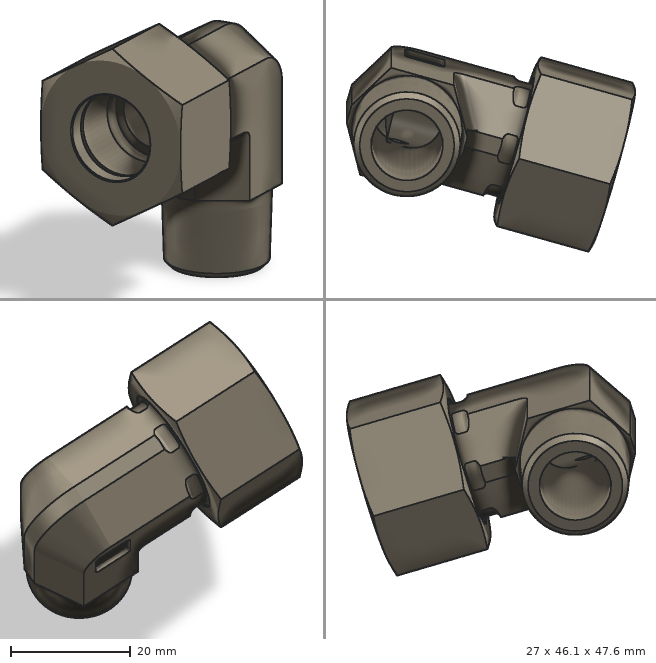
import cadquery as cq
import math


BAR_ACROSS_FLATS = 19.0
BAR_BEND_HEIGHT = 20.2
LEG_END = 18.0
INNER_BEND_RADIUS = 2.0

PIPE_THREAD_DIA = 18.53
PIPE_THREAD_LENGTH = 14.0
PIPE_THREAD_STRAIGHT = 2.0
PIPE_THREAD_CHAMFER = 1.0
PIPE_TAPER_ON_DIAMETER = 1 / 16

STUD_DIA = 22.0
STUD_START = 19.3
STUD_END = 28.0

GROOVE_DIA = 19.7
GROOVE_START = 16.0
GROOVE_FLAT_LENGTH = 1.3
GROOVE_CORNER_RADIUS = 1.0
SHANK_DIA = 20.0

BORE_DIA = 12.0
DRILL_OVERRUN = 1.8
DRILL_HALF_ANGLE = math.radians(59)
TUBE_DIA = 15.0
TUBE_STOP = 21.0
CONE_MOUTH_DIA = 17.3
CONE_HALF_ANGLE = math.radians(12)

PANEL_SIZE = 7.0
PANEL_DEPTH = 1.0
PANEL_CORNER_RADIUS = 1.0
PANEL_OFFSET = 0.43

NUT_ACROSS_FLATS = 27.0
NUT_START = 19.0
NUT_LENGTH = 17.0
NUT_END = NUT_START + NUT_LENGTH
NUT_CHAMFER_ANGLE = math.radians(15)
NUT_LIP_LENGTH = 3.0
NUT_RIM_CHAMFER = 0.2

RING_DIA = 20.0
RING_NOSE_LENGTH = 4.0
RING_NUT_GAP = 0.8


def hexagon_points(across_flats):
    """Corners of a hexagon with flats facing +X and -X."""
    corner_radius = across_flats / math.sqrt(3)
    angles = [math.radians(30 + 60 * i) for i in range(6)]
    return [(corner_radius * math.cos(a), corner_radius * math.sin(a)) for a in angles]


def turned_on_arm(profile):
    """Revolve a closed profile of (radius, distance along -Y) points around the arm axis."""
    points = [(radius, -distance) for radius, distance in profile]
    return cq.Workplane("XY").polyline(points).close().revolve(360, (0, 0, 0), (0, 1, 0))


def turned_on_leg(profile):
    """Revolve a closed profile of (radius, distance along -Z) points around the leg axis."""
    points = [(radius, -distance) for radius, distance in profile]
    return cq.Workplane("XZ").polyline(points).close().revolve(360, (0, 0, 0), (0, 1, 0))


BAR_HALF_FLATS = BAR_ACROSS_FLATS / 2
BAR_HALF_HEIGHT = BAR_BEND_HEIGHT / 2
BAR_CORNER_RADIUS = BAR_ACROSS_FLATS / math.sqrt(3)
BAR_TOP_HALF_WIDTH = (BAR_CORNER_RADIUS - BAR_HALF_HEIGHT) * math.sqrt(3)
BAR_UPPER_HALF = [
    (BAR_HALF_FLATS, BAR_CORNER_RADIUS / 2),
    (BAR_TOP_HALF_WIDTH, BAR_HALF_HEIGHT),
    (-BAR_TOP_HALF_WIDTH, BAR_HALF_HEIGHT),
    (-BAR_HALF_FLATS, BAR_CORNER_RADIUS / 2),
]


def bar(plane, length):
    """Straight length of the bar."""
    lower_half = [(-x, -y) for x, y in BAR_UPPER_HALF]
    return cq.Workplane(plane).polyline(BAR_UPPER_HALF + lower_half).close().extrude(length)


def bend():
    """Outside of the bend: the upper half of the bar section turned about the X axis."""
    half_section = [(BAR_HALF_FLATS, 0), *BAR_UPPER_HALF, (-BAR_HALF_FLATS, 0)]
    return cq.Workplane("XZ").polyline(half_section).close().revolve(90, (0, 0, 0), (-1, 0, 0))


def forged_elbow():
    """Two arms of bar joined by the bend, with the inside corner rounded."""
    arm = bar("XZ", STUD_START)
    leg = bar("XY", -LEG_END)
    near = -BAR_CORNER_RADIUS / 2
    far = -BAR_CORNER_RADIUS
    inside_corner = cq.selectors.BoxSelector((-BAR_HALF_FLATS, far, far), (BAR_HALF_FLATS, near, near))
    return arm.union(leg).union(bend()).edges(inside_corner).fillet(INNER_BEND_RADIUS)


def drilled_hole(end):
    """Profile of a bore that runs from `end` past the bend and closes in a drill point."""
    radius = BORE_DIA / 2
    tip = DRILL_OVERRUN + radius / math.tan(DRILL_HALF_ANGLE)
    return [(0, end), (radius, end), (radius, -DRILL_OVERRUN), (0, -tip)]


def groove_cutter():
    """Ring that cuts the groove into the bar's corners and turns the shank beyond it."""
    corner = GROOVE_CORNER_RADIUS
    bottom = GROOVE_DIA / 2
    shank_radius = SHANK_DIA / 2
    outside = STUD_DIA / 2
    flat_start = GROOVE_START + corner
    flat_end = flat_start + GROOVE_FLAT_LENGTH
    shank_angle = math.acos(1 - (shank_radius - bottom) / corner)

    def rise(angle):
        return bottom + corner * (1 - math.cos(angle))

    def run(angle):
        return corner * math.sin(angle)

    start_mid = math.pi / 4
    end_mid = shank_angle / 2
    return (
        cq.Workplane("XY")
        .moveTo(outside, -GROOVE_START)
        .lineTo(bottom + corner, -GROOVE_START)
        .threePointArc((rise(start_mid), run(start_mid) - flat_start), (bottom, -flat_start))
        .lineTo(bottom, -flat_end)
        .threePointArc(
            (rise(end_mid), -flat_end - run(end_mid)),
            (shank_radius, -flat_end - run(shank_angle)),
        )
        .lineTo(shank_radius, -STUD_START)
        .lineTo(outside, -STUD_START)
        .close()
        .revolve(360, (0, 0, 0), (0, 1, 0))
    )


def pipe_thread():
    """Straight collar, tapered thread and end chamfer at the foot of the leg."""
    radius = PIPE_THREAD_DIA / 2
    taper_start = LEG_END + PIPE_THREAD_STRAIGHT
    end = LEG_END + PIPE_THREAD_LENGTH
    taper_end = end - PIPE_THREAD_CHAMFER
    small_radius = radius - (taper_end - taper_start) * PIPE_TAPER_ON_DIAMETER / 2
    profile = [
        (0, LEG_END),
        (radius, LEG_END),
        (radius, taper_start),
        (small_radius, taper_end),
        (small_radius - PIPE_THREAD_CHAMFER, end),
        (0, end),
    ]
    return turned_on_leg(profile)


def tube_socket():
    """Cutter for the tube seat: a plain bore that opens into the sealing cone."""
    tube_radius = TUBE_DIA / 2
    mouth_radius = CONE_MOUTH_DIA / 2
    cone_start = STUD_END - (mouth_radius - tube_radius) / math.tan(CONE_HALF_ANGLE)
    profile = [
        (0, TUBE_STOP),
        (tube_radius, TUBE_STOP),
        (tube_radius, cone_start),
        (mouth_radius, STUD_END),
        (0, STUD_END),
    ]
    return turned_on_arm(profile)


def badge_panel():
    """Cutter for the rounded square recess in the -X face."""
    return (
        cq.Workplane("YZ")
        .center(-PANEL_OFFSET, -PANEL_OFFSET)
        .rect(PANEL_SIZE, PANEL_SIZE)
        .extrude(PANEL_DEPTH)
        .edges("|X")
        .fillet(PANEL_CORNER_RADIUS)
        .translate((-BAR_HALF_FLATS, 0, 0))
    )


def make_elbow():
    """Forged elbow with its stud and pipe thread, drilled from both ends."""
    stud_length = STUD_END - STUD_START
    stud = cq.Workplane("XZ").workplane(offset=STUD_START).circle(STUD_DIA / 2).extrude(stud_length)
    outside = forged_elbow().cut(groove_cutter()).union(stud).union(pipe_thread())
    arm_bore = turned_on_arm(drilled_hole(STUD_END))
    leg_bore = turned_on_leg(drilled_hole(LEG_END + PIPE_THREAD_LENGTH))
    return outside.cut(arm_bore).cut(leg_bore).cut(tube_socket()).cut(badge_panel())


LIP_BACK = NUT_END - NUT_LIP_LENGTH
PRESS_CONE_START = LIP_BACK - (RING_DIA - TUBE_DIA) / 2


def nut_blank():
    """Hexagon bar with both ends turned to a shallow cone."""
    flat_radius = NUT_ACROSS_FLATS / 2
    corner_radius = NUT_ACROSS_FLATS / math.sqrt(3)
    chamfer_length = (corner_radius - flat_radius) * math.tan(NUT_CHAMFER_ANGLE)
    hexagon = (
        cq.Workplane("XZ")
        .workplane(offset=NUT_START)
        .polyline(hexagon_points(NUT_ACROSS_FLATS))
        .close()
        .extrude(NUT_LENGTH)
    )
    turned_limit = [
        (0, NUT_START),
        (flat_radius, NUT_START),
        (corner_radius, NUT_START + chamfer_length),
        (corner_radius, NUT_END - chamfer_length),
        (flat_radius, NUT_END),
        (0, NUT_END),
    ]
    return hexagon.intersect(turned_on_arm(turned_limit))


def make_nut():
    """Nut bored for the stud, the ring and the tube, with a chamfered front rim."""
    stud_radius = STUD_DIA / 2
    ring_radius = RING_DIA / 2
    tube_radius = TUBE_DIA / 2
    cavity = [
        (0, NUT_START),
        (stud_radius, NUT_START),
        (stud_radius, STUD_END),
        (ring_radius, STUD_END),
        (ring_radius, PRESS_CONE_START),
        (tube_radius, LIP_BACK),
        (tube_radius, NUT_END - NUT_RIM_CHAMFER),
        (tube_radius + NUT_RIM_CHAMFER, NUT_END),
        (0, NUT_END),
    ]
    return nut_blank().cut(turned_on_arm(cavity))


def make_ring():
    """Cutting ring: nose in the elbow's cone, collar on the stud end, rear cone in the nut."""
    tube_radius = TUBE_DIA / 2
    mouth_radius = CONE_MOUTH_DIA / 2
    ring_radius = RING_DIA / 2
    nose_tip_radius = mouth_radius - RING_NOSE_LENGTH * math.tan(CONE_HALF_ANGLE)
    profile = [
        (tube_radius, STUD_END - RING_NOSE_LENGTH),
        (nose_tip_radius, STUD_END - RING_NOSE_LENGTH),
        (mouth_radius, STUD_END),
        (ring_radius, STUD_END),
        (ring_radius, PRESS_CONE_START),
        (tube_radius + RING_NUT_GAP, LIP_BACK - RING_NUT_GAP),
        (tube_radius, LIP_BACK - RING_NUT_GAP),
    ]
    return turned_on_arm(profile)


elbow = make_elbow().solids().val()
nut = make_nut().solids().val()
ring = make_ring().solids().val()
result = cq.Compound.makeCompound([elbow, nut, ring])